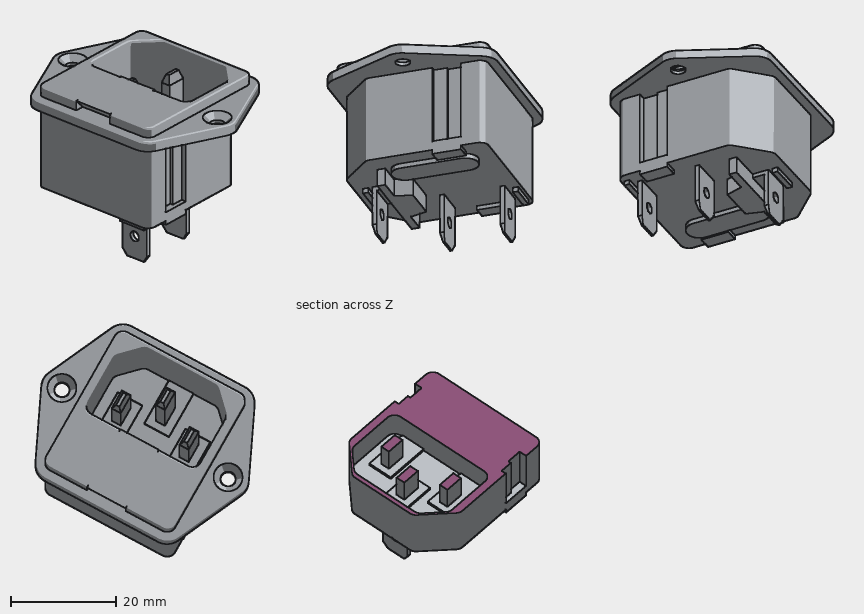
import cadquery as cq


FLANGE_TOP = 2.02
RIM_TOP = 4.1
BODY_BOTTOM = -17.4
FOOT_BOTTOM = -18.25
PAD_BOTTOM = -18.4
BLOCK_BOTTOM = -20.9
BLADE_SHOULDER = -25.4
BLADE_TIP = -26.9

FLANGE_LENGTH = 44.0
FLANGE_WIDTH = 34.1
FLANGE_CORNER_R = 3.6
EDGE_R = 0.5
HOLE_X = 18.0
HOLE_D = 2.85
COUNTERSINK_D = 5.5
COUNTERSINK_ANGLE = 90

BODY_LENGTH = 27.95
BODY_WIDTH = 30.35
CORNER_R = 1.75
BODY_CHAMFER = 6.35

SOCKET_HALF_LENGTH = 12.25
SOCKET_BACK = 14.15
SOCKET_FRONT = -2.1
SOCKET_CHAMFER = 4.35
SOCKET_FLOOR = -12.3
CONTACT_STEP = 0.45
CONTACT_WIDTH = 5.35
LINE_STEP_BACK = 7.45
EARTH_STEP_FRONT = 4.55

PIN_WIDTH = 2.0
PIN_DEPTH = 4.0
PIN_END_WIDTH = 0.7
PIN_END_DEPTH = 2.75
PIN_TAPER = 1.8
LINE_PIN_X = 7.35
LINE_PIN_Y = 4.0
LINE_PIN_TOP = -0.45
EARTH_PIN_Y = 8.0
EARTH_PIN_TOP = 2.38

DRAWER_BACK = -4.05
DRAWER_FRONT = -13.55
TAB_HALF_WIDTH = 4.2
GRIP_DEPTH = 1.9

LATCH_BACK = -4.45
LATCH_STEP = -7.1
LATCH_FRONT = -10.25
LATCH_SILL = -15.57
LATCH_SHALLOW = 1.0
LATCH_DEEP = 1.63
FOOT_LENGTH = 2.8

BLOCK_BACK = 8.15
BLOCK_STEP = 6.55
BLOCK_FRONT = 3.1
BLOCK_HALF_LENGTH = 9.65
NOSE_ROOT_HALF = 4.7
NOSE_HALF = 3.7
FUSE_PAD_X = -7.95
FUSE_PAD_BACK = 5.8
FUSE_PAD_FRONT = -11.55
FUSE_PAD_WIDTH = 5.25
RIB_LENGTH = 6.0
RIB_WIDTH = 1.1
FRONT_RIB_X = 9.15
FRONT_RIB_Y = -14.0
BACK_RIB_Y = 12.9

BLADE_WIDTH = 6.1
BLADE_THICKNESS = 0.9
BLADE_TIP_WIDTH = 4.15
BLADE_TIP_THICKNESS = 0.35
BLADE_HOLE_D = 2.05
BLADE_HOLE_Z = -22.0
EARTH_BLADE_Y = 11.1
LINE_BLADES = [(7.5, 0.18), (7.87, -11.85)]


def box(x0, x1, y0, y1, z0, z1):
    return cq.Workplane("XY").box(x1 - x0, y1 - y0, z1 - z0, centered=False).translate((x0, y0, z0))


def chamfered_outline(half_length, front, back, chamfer, z0, z1):
    """Prism with its two back corners cut at 45 degrees and all upright edges rounded."""
    points = [
        (-half_length, front),
        (half_length, front),
        (half_length, back - chamfer),
        (half_length - chamfer, back),
        (-half_length + chamfer, back),
        (-half_length, back - chamfer),
    ]
    prism = cq.Workplane("XY").workplane(offset=z0).polyline(points).close().extrude(z1 - z0)
    return prism.edges("|Z").fillet(CORNER_R)


def tapered_end(width, depth, end_width, end_depth, start, end):
    """Frustum between two centred rectangles on the Z axis."""
    base = cq.Workplane("XY").workplane(offset=start).rect(width, depth)
    return base.workplane(offset=end - start).rect(end_width, end_depth).loft(combine=True)


def flange():
    corner_x = BODY_LENGTH / 2 - CORNER_R
    corner_y = FLANGE_WIDTH / 2 - FLANGE_CORNER_R
    tip_x = FLANGE_LENGTH / 2 - FLANGE_CORNER_R
    centres = [
        (tip_x, 0),
        (corner_x, corner_y),
        (-corner_x, corner_y),
        (-tip_x, 0),
        (-corner_x, -corner_y),
        (corner_x, -corner_y),
    ]
    plate = cq.Workplane("XY").polyline(centres).close().offset2D(FLANGE_CORNER_R).extrude(FLANGE_TOP)
    plate = plate.faces(">Z").edges().fillet(EDGE_R)
    holes = plate.faces(">Z").workplane(origin=(0, 0, 0)).pushPoints([(-HOLE_X, 0), (HOLE_X, 0)])
    return holes.cskHole(HOLE_D, COUNTERSINK_D, COUNTERSINK_ANGLE)


def housing():
    half_width = BODY_WIDTH / 2
    rim = box(-BODY_LENGTH / 2, BODY_LENGTH / 2, -half_width, half_width, 0, RIM_TOP)
    rim = rim.edges("|Z").fillet(CORNER_R).faces(">Z").edges().fillet(EDGE_R)
    body = chamfered_outline(BODY_LENGTH / 2, -half_width, half_width, BODY_CHAMFER, BODY_BOTTOM, 0)
    socket = chamfered_outline(
        SOCKET_HALF_LENGTH, SOCKET_FRONT, SOCKET_BACK, SOCKET_CHAMFER, SOCKET_FLOOR, RIM_TOP
    )
    shell = flange().union(rim).union(body).cut(socket)
    mouth = cq.selectors.BoxSelector(
        (-SOCKET_HALF_LENGTH - EDGE_R / 2, SOCKET_FRONT - EDGE_R / 2, RIM_TOP - EDGE_R / 2),
        (SOCKET_HALF_LENGTH + EDGE_R / 2, SOCKET_BACK + EDGE_R / 2, RIM_TOP + EDGE_R / 2),
    )
    return shell.edges(mouth).fillet(EDGE_R)


def fuse_drawer():
    """Cross-shaped drawer front, flush with the rim."""
    panel = box(-SOCKET_HALF_LENGTH, SOCKET_HALF_LENGTH, DRAWER_FRONT, DRAWER_BACK, FLANGE_TOP, RIM_TOP)
    tab = box(-TAB_HALF_WIDTH, TAB_HALF_WIDTH, -BODY_WIDTH / 2, SOCKET_FRONT, FLANGE_TOP, RIM_TOP)
    return panel.union(tab)


def finger_grip():
    """Wedge that undercuts the front of the drawer tab."""
    front = -BODY_WIDTH / 2
    profile = [(front, FLANGE_TOP), (front + GRIP_DEPTH, FLANGE_TOP), (front, RIM_TOP)]
    return cq.Workplane("YZ").polyline(profile).close().extrude(TAB_HALF_WIDTH, both=True)


def contact_steps():
    """Raised steps on the socket floor around the pins."""
    half = CONTACT_WIDTH / 2
    top = SOCKET_FLOOR + CONTACT_STEP
    steps = box(-half, half, EARTH_STEP_FRONT, SOCKET_BACK, SOCKET_FLOOR, top)
    for x in (-LINE_PIN_X, LINE_PIN_X):
        steps = steps.union(box(x - half, x + half, SOCKET_FRONT, LINE_STEP_BACK, SOCKET_FLOOR, top))
    return steps


def pin(x, y, top):
    shoulder = top - PIN_TAPER
    shaft = box(-PIN_WIDTH / 2, PIN_WIDTH / 2, -PIN_DEPTH / 2, PIN_DEPTH / 2, SOCKET_FLOOR, shoulder)
    end = tapered_end(PIN_WIDTH, PIN_DEPTH, PIN_END_WIDTH, PIN_END_DEPTH, shoulder, top)
    return shaft.union(end).translate((x, y, 0))


def latch_recess(side):
    """Two-step slot in one side wall; side is -1 or 1."""
    outer = BODY_LENGTH / 2
    shallow = box(outer - LATCH_SHALLOW, outer, LATCH_STEP, LATCH_BACK, LATCH_SILL, 0)
    deep = box(outer - LATCH_DEEP, outer, LATCH_FRONT, LATCH_STEP, LATCH_SILL, 0)
    recess = shallow.union(deep)
    return recess if side > 0 else recess.mirror("YZ")


def latch_foot(side):
    outer = BODY_LENGTH / 2
    foot = box(outer - FOOT_LENGTH, outer, LATCH_FRONT, LATCH_BACK, FOOT_BOTTOM, BODY_BOTTOM)
    return foot if side > 0 else foot.mirror("YZ")


def terminal_block():
    """Long block with a tapered nose toward -Y."""
    points = [
        (-BLOCK_HALF_LENGTH, BLOCK_BACK),
        (-BLOCK_HALF_LENGTH, BLOCK_STEP),
        (-NOSE_ROOT_HALF, BLOCK_STEP),
        (-NOSE_HALF, BLOCK_FRONT),
        (NOSE_HALF, BLOCK_FRONT),
        (NOSE_ROOT_HALF, BLOCK_STEP),
        (BLOCK_HALF_LENGTH, BLOCK_STEP),
        (BLOCK_HALF_LENGTH, BLOCK_BACK),
    ]
    base = cq.Workplane("XY").workplane(offset=BLOCK_BOTTOM)
    return base.polyline(points).close().extrude(BODY_BOTTOM - BLOCK_BOTTOM)


def fuse_pad():
    centre_y = (FUSE_PAD_BACK + FUSE_PAD_FRONT) / 2
    base = cq.Workplane("XY", origin=(FUSE_PAD_X, centre_y, PAD_BOTTOM))
    slot = base.slot2D(FUSE_PAD_BACK - FUSE_PAD_FRONT, FUSE_PAD_WIDTH, angle=90)
    return slot.extrude(BODY_BOTTOM - PAD_BOTTOM)


def rib(x, y):
    half_length = RIB_LENGTH / 2
    half_width = RIB_WIDTH / 2
    return box(x - half_length, x + half_length, y - half_width, y + half_width, PAD_BOTTOM, BODY_BOTTOM)


def blade(x, y):
    half_width = BLADE_WIDTH / 2
    half_thickness = BLADE_THICKNESS / 2
    shank = box(-half_width, half_width, -half_thickness, half_thickness, BLADE_SHOULDER, BODY_BOTTOM)
    tip = tapered_end(
        BLADE_WIDTH, BLADE_THICKNESS, BLADE_TIP_WIDTH, BLADE_TIP_THICKNESS, BLADE_SHOULDER, BLADE_TIP
    )
    hole = cq.Workplane("XZ").center(0, BLADE_HOLE_Z).circle(BLADE_HOLE_D / 2)
    return shank.union(tip).cut(hole.extrude(BLADE_THICKNESS, both=True)).translate((x, y, 0))


def earth_bridge():
    """Flat strip joining the earth blade to the terminal block."""
    half_width = BLADE_WIDTH / 2
    return box(-half_width, half_width, BLOCK_BACK, EARTH_BLADE_Y, FOOT_BOTTOM, BODY_BOTTOM)


result = housing()
for side in (-1, 1):
    result = result.cut(latch_recess(side)).union(latch_foot(side))

result = result.union(contact_steps())
result = result.union(pin(0, EARTH_PIN_Y, EARTH_PIN_TOP))
for x in (-LINE_PIN_X, LINE_PIN_X):
    result = result.union(pin(x, LINE_PIN_Y, LINE_PIN_TOP))

result = result.union(terminal_block()).union(fuse_pad())
result = result.union(rib(FRONT_RIB_X, FRONT_RIB_Y)).union(rib(0, BACK_RIB_Y))
result = result.union(blade(0, EARTH_BLADE_Y)).union(earth_bridge())
for x, y in LINE_BLADES:
    result = result.union(blade(x, y))

drawer = fuse_drawer()
result = result.cut(drawer).union(drawer.cut(finger_grip()), clean=False)